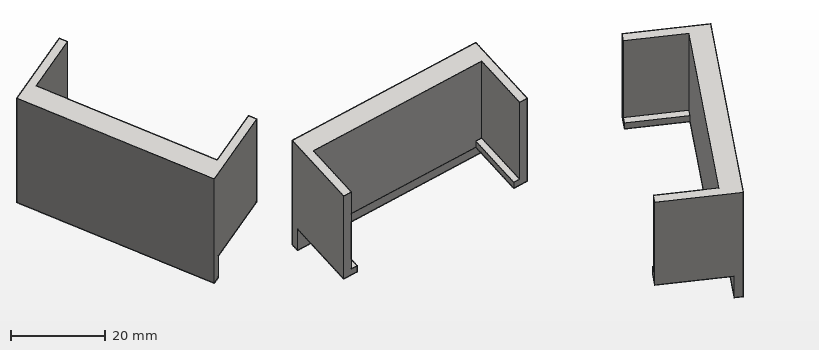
import cadquery as cq

width = 47.5
depth = 19.0
height = 34.0

side_wall = 2.0
front_wall = 5.0
lip_thickness = 2.0
lip_height = 7.0

ledge_projection = 1.5
ledge_thickness = 2.0

inner_width = width - 2 * side_wall
inner_depth = depth - front_wall


def corner_box(size_x, size_y, size_z, x, y, z):
    """Box whose lowest corner is at (x, y, z)."""
    return cq.Workplane("XY").box(size_x, size_y, size_z, centered=False).translate((x, y, z))


body = corner_box(width, depth, height - lip_height, 0, 0, lip_height)
body = body.cut(corner_box(inner_width, inner_depth, height, side_wall, front_wall, 0))

result = body.union(corner_box(width, lip_thickness, lip_height, 0, 0, 0))

ledge_width = side_wall + ledge_projection
for ledge_x in (0, width - ledge_width):
    ledge = corner_box(ledge_width, depth, ledge_thickness, ledge_x, 0, lip_height)
    result = result.union(ledge)